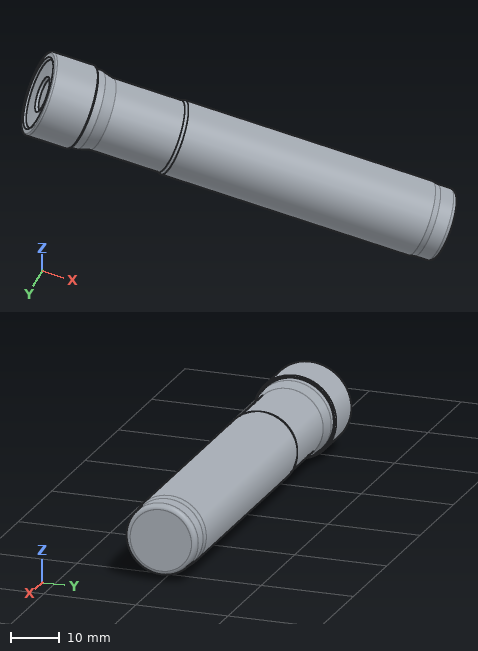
import cadquery as cq

TOTAL_LENGTH = 90.0

HEAD_DIAMETER = 18.0
HEAD_LENGTH = 9.6
FRONT_FILLET = 0.4
BACK_CHAMFER = 0.3

RIM_DIAMETER = 15.5
RIM_DEPTH = 0.45
DISH_DIAMETER = 14.6
DISH_DEPTH = 0.45
EYE_DIAMETER = 7.6
EYE_FLOOR_DIAMETER = 6.8
EYE_DEPTH = 0.6

COLLAR_DIAMETER = 17.0
COLLAR_END = 11.25
FLARE_END = 13.95
NECK_DIAMETER = 15.5
NECK_END = 29.25
GRIP_DIAMETER = 16.0
GRIP_START = 30.0
GRIP_END = 84.8
TAIL_START = 86.0
TAIL_DIAMETER = NECK_DIAMETER
TAIL_FILLET = 1.1


def revolve_about_x(profile):
    """Turn a closed (x, radius) profile around the X axis."""
    return profile.close().revolve(360, (0, 0, 0), (1, 0, 0))


def make_head():
    radius = HEAD_DIAMETER / 2
    dish_floor = RIM_DEPTH + DISH_DEPTH
    blank = (
        cq.Workplane("YZ")
        .circle(radius)
        .extrude(HEAD_LENGTH)
        .faces("<X").edges().fillet(FRONT_FILLET)
        .faces(">X").chamfer(BACK_CHAMFER)
    )
    recess = revolve_about_x(
        cq.Workplane("XY")
        .lineTo(0, RIM_DIAMETER / 2)
        .lineTo(RIM_DEPTH, DISH_DIAMETER / 2)
        .lineTo(dish_floor, EYE_DIAMETER / 2)
        .lineTo(dish_floor + EYE_DEPTH, EYE_FLOOR_DIAMETER / 2)
        .lineTo(dish_floor + EYE_DEPTH, 0)
    )
    return blank.cut(recess)


def make_barrel():
    blank = revolve_about_x(
        cq.Workplane("XY")
        .moveTo(HEAD_LENGTH, 0)
        .lineTo(HEAD_LENGTH, COLLAR_DIAMETER / 2)
        .lineTo(COLLAR_END, COLLAR_DIAMETER / 2)
        .lineTo(FLARE_END, NECK_DIAMETER / 2)
        .lineTo(NECK_END, NECK_DIAMETER / 2)
        .lineTo(GRIP_START, GRIP_DIAMETER / 2)
        .lineTo(GRIP_END, GRIP_DIAMETER / 2)
        .lineTo(TAIL_START, TAIL_DIAMETER / 2)
        .lineTo(TOTAL_LENGTH, TAIL_DIAMETER / 2)
        .lineTo(TOTAL_LENGTH, 0)
    )
    return blank.faces(">X").edges().fillet(TAIL_FILLET)


head = make_head()
barrel = make_barrel()

result = cq.Compound.makeCompound([head.val(), barrel.val()])